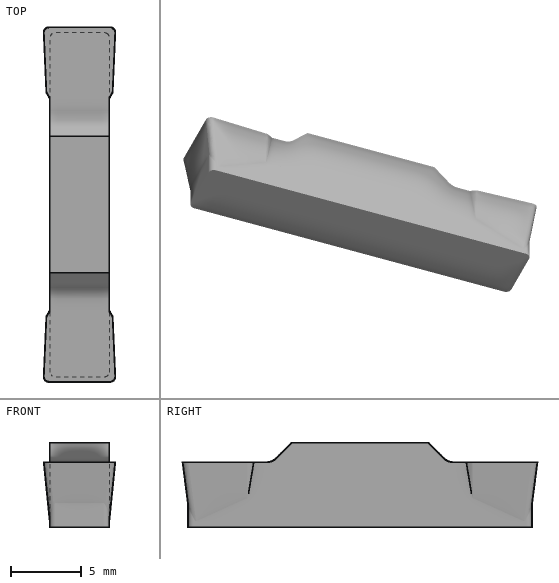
import cadquery as cq
import math

length = 25.02
height = 5.98
head_width = 5.05
body_width = 4.2

body_end_inset = 0.38
body_corner_radius = 0.4
seat_height = 4.6
plateau_length = 9.6
ramp_angle = 45.0
ramp_foot_radius = 1.0

head_side_taper = 2.5
side_relief = 5.5
front_relief = 7.4
shoulder_inset = 4.6
rear_angle = 60.0
head_core_width = 2.5
head_corner_radius = 0.4
shoulder_radius = 0.25

body_length = length - 2 * body_end_inset


def tangent(degrees):
    return math.tan(math.radians(degrees))


def make_body():
    """Straight bar with a raised plateau and rounded vertical corners."""
    half_body = body_length / 2
    half_plateau = plateau_length / 2
    ramp_foot = half_plateau + (height - seat_height) / tangent(ramp_angle)
    profile = [
        (-half_body, 0),
        (half_body, 0),
        (half_body, seat_height),
        (ramp_foot, seat_height),
        (half_plateau, height),
        (-half_plateau, height),
        (-ramp_foot, seat_height),
        (-half_body, seat_height),
    ]
    body = cq.Workplane("YZ").polyline(profile).close().extrude(body_width / 2, both=True)
    for y in (-ramp_foot, ramp_foot):
        foot = cq.selectors.NearestToPointSelector((0, y, seat_height))
        body = body.edges("|X").edges(foot).fillet(ramp_foot_radius)
    return body.edges("|Z").edges("<Y or >Y").fillet(body_corner_radius)


def head_outline(depth):
    """Plan outline of the -Y head at a given depth below its flat top."""
    front_y = -length / 2 + depth * tangent(front_relief)
    shoulder_y = -length / 2 + shoulder_inset
    corner_gain = head_corner_radius * tangent(head_side_taper)
    top_half_width = head_width / 2 + corner_gain
    flank_shift = depth * tangent(side_relief)
    front_taper = (front_y + length / 2) * tangent(head_side_taper)
    front_x = top_half_width - flank_shift - front_taper
    shoulder_x = top_half_width - flank_shift - shoulder_inset * tangent(head_side_taper)
    core_x = head_core_width / 2
    core_y = shoulder_y + (shoulder_x - core_x) * tangent(rear_angle)
    right_side = [(front_x, front_y), (shoulder_x, shoulder_y), (core_x, core_y)]
    left_side = [(-x, y) for x, y in reversed(right_side)]
    return right_side + left_side


def make_head():
    """Head at the -Y end, leaning inwards from its top on the end and both flanks."""
    head = (
        cq.Workplane("XY")
        .polyline(head_outline(seat_height)).close()
        .workplane(offset=seat_height)
        .polyline(head_outline(0)).close()
        .loft(ruled=True, combine=True)
    )
    mid_outline = head_outline(seat_height / 2)
    front_corner, shoulder = mid_outline[:2]
    for (x, y), radius in ((front_corner, head_corner_radius), (shoulder, shoulder_radius)):
        for side in (-1, 1):
            corner = cq.selectors.NearestToPointSelector((side * x, y, seat_height / 2))
            head = head.edges(corner).fillet(radius)
    return head


head = make_head()
opposite_head = head.mirror("XZ")
result = make_body().union(head).union(opposite_head).clean()